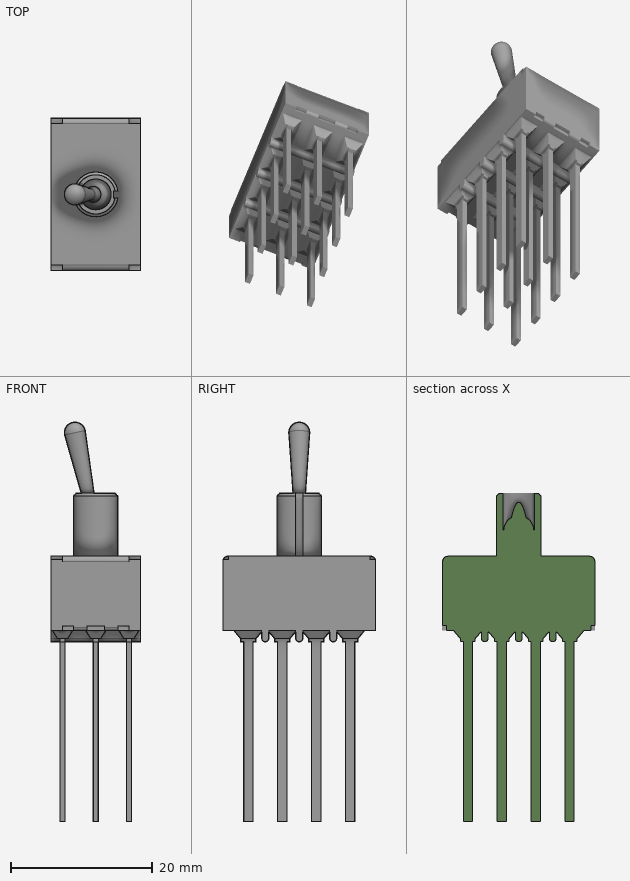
import cadquery as cq
import math


body_width = 12.7
body_length = 21.55
body_height = 10.55
cover_thickness = 0.5
cover_band_width = 9.4
cover_bend_radius = 0.8
cover_end_gap = 0.7
tab_width = 1.85
tab_bend_radius = 0.45
tab_offset = 2.2

bushing_diameter = 6.3
bushing_height = 8.85
bushing_chamfer = 0.4
bore_diameter = 4.35
keyway_width = 1.0
keyway_floor = 2.5

pivot_height = 3.55
lever_tilt = 12.0
lever_length = 14.2
ball_diameter = bore_diameter
neck_base_diameter = 2.3
neck_diameter = 1.65
neck_start = 1.7
neck_end = 4.25
tip_diameter = 3.0

terminal_depth = 27.0
terminal_thickness = 0.75
terminal_width = 1.35
shoulder_width = 2.15
shoulder_depth = 1.6
column_pitch = 4.7
row_pitch = 4.8
column_count = 3
row_count = 4
seal_top_size = (2.8, 4.05)
seal_bottom_size = (1.4, shoulder_width)
seal_depth = 1.15
rib_width = 1.0
rib_depth = 1.6


def centred_steps(count, pitch):
    """Evenly spaced positions, centred on zero."""
    return [(i - (count - 1) / 2) * pitch for i in range(count)]


def make_housing():
    """Box with a bent cover strip over each end, between corner posts that stop under the cover."""
    housing = cq.Workplane("XY").box(body_width, body_length, body_height, centered=(True, True, False))
    housing = housing.edges("|X and >Z").fillet(cover_bend_radius)

    corner_width = (body_width - cover_band_width) / 2
    corner_x = (body_width - corner_width) / 2
    post_height = body_height - cover_thickness
    corner_y = (body_length - cover_bend_radius) / 2
    for x_side in (-1, 1):
        for y_side in (-1, 1):
            corner = cq.Workplane("XY", origin=(x_side * corner_x, y_side * corner_y, 0))
            gap = corner.box(corner_width, cover_bend_radius, body_height, centered=(True, True, False))
            post = corner.box(corner_width, cover_bend_radius, post_height, centered=(True, True, False))
            housing = housing.cut(gap).union(post)

    recess_y = (body_length - cover_thickness) / 2
    for y_side in (-1, 1):
        recess = (
            cq.Workplane("XY", origin=(0, y_side * recess_y, 0))
            .box(cover_band_width, cover_thickness, cover_end_gap, centered=(True, True, False))
        )
        housing = housing.cut(recess)
        outer_edge = ">Y" if y_side > 0 else "<Y"
        for x_side in (-1, 1):
            tab = (
                cq.Workplane("XY", origin=(x_side * tab_offset, y_side * recess_y, 0))
                .box(tab_width, cover_thickness, cover_end_gap, centered=(True, True, False))
                .edges("|X and <Z and " + outer_edge)
                .fillet(tab_bend_radius)
            )
            housing = housing.union(tab)
    return housing


def make_bushing():
    """Chamfered tube, bored down to the ball, with a keyway along its +X side."""
    keyway_depth = bushing_diameter / 2 - keyway_floor
    bushing = (
        cq.Workplane("XY", origin=(0, 0, body_height))
        .circle(bushing_diameter / 2)
        .extrude(bushing_height)
        .faces(">Z")
        .chamfer(bushing_chamfer)
    )
    keyway = (
        cq.Workplane("XY", origin=(keyway_floor, 0, body_height))
        .box(keyway_depth, keyway_width, bushing_height, centered=(False, True, False))
    )
    bore = (
        cq.Workplane("XY", origin=(0, 0, body_height + pivot_height))
        .circle(bore_diameter / 2)
        .extrude(bushing_height - pivot_height)
    )
    return bushing.cut(keyway).cut(bore)


def make_lever():
    """Ball, tapered neck and flared arm with a hemispherical tip, tilted about the ball centre."""
    tip_radius = tip_diameter / 2
    arm = (
        cq.Workplane("XZ")
        .moveTo(0, neck_start)
        .lineTo(neck_base_diameter / 2, neck_start)
        .lineTo(neck_diameter / 2, neck_end)
        .lineTo(tip_radius, lever_length)
        .threePointArc(
            (tip_radius * math.sin(math.pi / 4), lever_length + tip_radius * math.cos(math.pi / 4)),
            (0, lever_length + tip_radius),
        )
        .close()
        .revolve(360, (0, 0), (0, 1))
        .rotate((0, 0, 0), (0, 1, 0), -lever_tilt)
    )
    ball = cq.Workplane("XY").sphere(ball_diameter / 2)
    return ball.union(arm).translate((0, 0, body_height + pivot_height))


def make_rib(y):
    """Round-bottomed rib across the full width of the underside."""
    radius = rib_width / 2
    straight_depth = rib_depth - radius
    return (
        cq.Workplane("YZ", origin=(-body_width / 2, y, 0))
        .moveTo(-radius, 0)
        .lineTo(-radius, -straight_depth)
        .threePointArc((0, -rib_depth), (radius, -straight_depth))
        .lineTo(radius, 0)
        .close()
        .extrude(body_width)
    )


def make_terminal(x, y):
    """Flat wire terminal with a wider shoulder, set in a tapered seal."""
    seal = (
        cq.Workplane("XY", origin=(x, y, 0))
        .rect(*seal_top_size)
        .workplane(offset=-seal_depth)
        .rect(*seal_bottom_size)
        .loft(ruled=True)
    )
    base = cq.Workplane("XY", origin=(x, y, 0))
    shoulder = base.rect(terminal_thickness, shoulder_width).extrude(-shoulder_depth)
    wire = base.rect(terminal_thickness, terminal_width).extrude(-terminal_depth)
    return seal.union(shoulder).union(wire)


result = make_housing().union(make_bushing()).union(make_lever())
for rib_y in centred_steps(row_count - 1, row_pitch):
    result = result.union(make_rib(rib_y))
for terminal_x in centred_steps(column_count, column_pitch):
    for terminal_y in centred_steps(row_count, row_pitch):
        result = result.union(make_terminal(terminal_x, terminal_y))